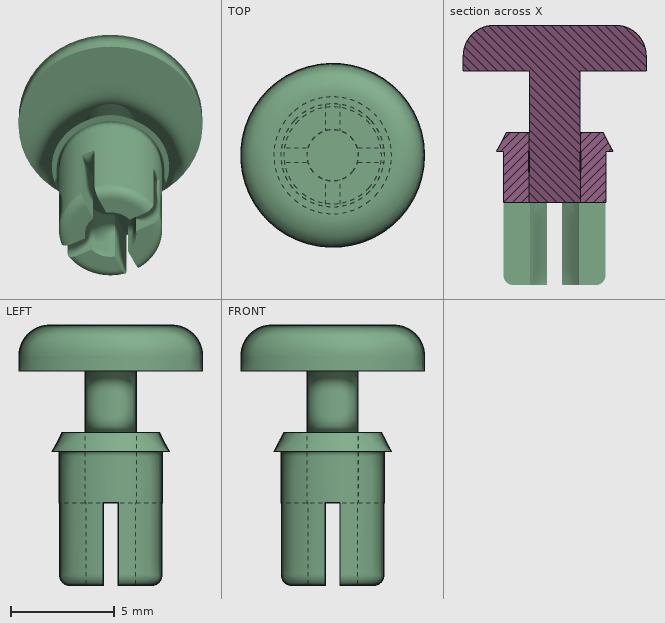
import cadquery as cq


barrel_diameter = 5.0
collar_base_diameter = 5.68
collar_top_diameter = 4.71
collar_base_z = 6.48
grommet_top_z = 7.41
tip_fillet = 0.5
slot_width = 0.7
slot_height = 4.0
bore_diameter = 2.5

shank_diameter = 2.47
shank_end_z = slot_height
head_diameter = 8.9
head_top_z = 12.6
dome_radius = 1.5
rim_height = 0.73
head_base_z = head_top_z - dome_radius - rim_height


def make_grommet():
    """Tube with a tapered collar, a rounded tip and two crossed through slots."""
    barrel = cq.Workplane("XY").circle(barrel_diameter / 2).extrude(collar_base_z)
    barrel = barrel.faces("<Z").edges().fillet(tip_fillet)

    collar = (
        cq.Workplane("XY", origin=(0, 0, collar_base_z))
        .circle(collar_base_diameter / 2)
        .workplane(offset=grommet_top_z - collar_base_z)
        .circle(collar_top_diameter / 2)
        .loft(ruled=True)
    )
    bore = cq.Workplane("XY").circle(bore_diameter / 2).extrude(grommet_top_z)
    grommet = barrel.union(collar).cut(bore)

    slot_length = collar_base_diameter
    for angle in (0, 90):
        slot = (
            cq.Workplane("XY")
            .rect(slot_length, slot_width)
            .extrude(slot_height)
            .rotate((0, 0, 0), (0, 0, 1), angle)
        )
        grommet = grommet.cut(slot)
    return grommet


def make_pin():
    """Round shank, ending at the top of the slots, under a domed head."""
    head = (
        cq.Workplane("XY", origin=(0, 0, head_base_z))
        .circle(head_diameter / 2)
        .extrude(head_top_z - head_base_z)
        .faces(">Z").edges().fillet(dome_radius)
    )
    shank = (
        cq.Workplane("XY", origin=(0, 0, shank_end_z))
        .circle(shank_diameter / 2)
        .extrude(head_base_z - shank_end_z)
    )
    return head.union(shank)


grommet = make_grommet()
pin = make_pin()

result = cq.Compound.makeCompound([grommet.val(), pin.val()])